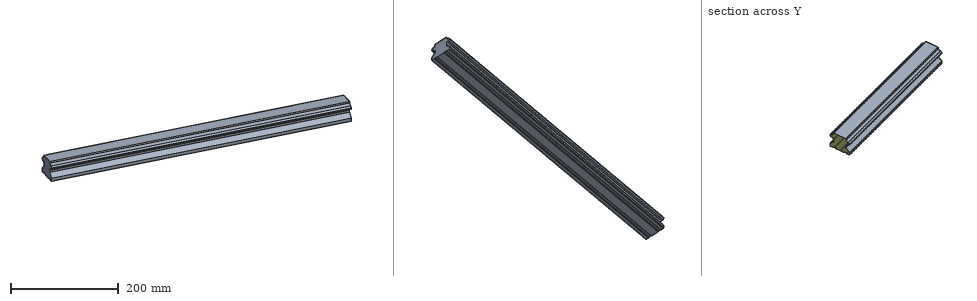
import cadquery as cq

length = 605.0
width = 45.0
height = 38.0
half_width = width / 2

top_half_width = 14.0
top_bevel_width = 1.0
top_bevel_drop = 2.5
raceway_depth = 1.0
shoulder_width = 3.0
rim_top = 28.5
rim_bottom = 26.5
head_bottom = 24.0

web_half_width = 14.0
web_flare = 2.0
web_top = 20.0

foot_side_top = 7.0
foot_chamfer = 1.0
foot_top = foot_side_top + half_width - web_half_width

groove_inner = 8.5
groove_outer = 15.0
groove_depth = 1.0

raceway_top = (top_half_width + top_bevel_width, height - top_bevel_drop)
raceway_bottom = (half_width - shoulder_width, rim_top + shoulder_width)
right_side = [
    (groove_inner, 0),
    (groove_inner + groove_depth, groove_depth),
    (groove_outer - groove_depth, groove_depth),
    (groove_outer, 0),
    (half_width - foot_chamfer, 0),
    (half_width, foot_chamfer),
    (half_width, foot_side_top),
    (web_half_width, foot_top),
    (web_half_width, web_top),
    (web_half_width + web_flare, head_bottom),
    (half_width - (rim_bottom - head_bottom), head_bottom),
    (half_width, rim_bottom),
    (half_width, rim_top),
    raceway_bottom,
]


def mirrored(point):
    """Reflect a cross-section point about the vertical centre line."""
    return (-point[0], point[1])


left_side = [mirrored(point) for point in reversed(right_side)]

profile = (
    cq.Workplane("XZ", origin=(0, 0, -height / 2))
    .polyline(right_side)
    .sagittaArc(raceway_top, raceway_depth)
    .lineTo(top_half_width, height)
    .lineTo(-top_half_width, height)
    .lineTo(*mirrored(raceway_top))
    .sagittaArc(mirrored(raceway_bottom), raceway_depth)
    .polyline(left_side[1:], includeCurrent=True)
    .close()
)

result = profile.extrude(length / 2, both=True)